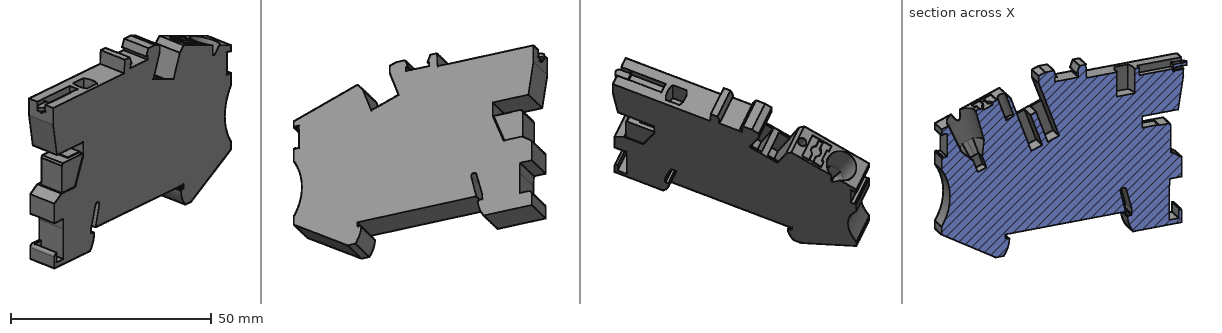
import cadquery as cq
import math


width = 8.15
back_y = 67.25
front_y = 0.95
foot_front_y = 1.4
top_z = 48.5
deck_z = 44.8
rail_z = 5.85

lip_back_y = 2.3
lip_top_z = 4.1
recess_back_y = 4.8

window_top_z = 31.2
window_back_y = 12.25
window_floor_z = 19.85

slope_top = (49.55, 44.5)
slope_foot = (back_y, 38.1)
slope_run = slope_foot[0] - slope_top[0]
slope_drop = slope_top[1] - slope_foot[1]
slope_angle = math.atan2(slope_drop, slope_run)

notch_back = (45.8, 36.45)
notch_floor_length = 8.0
notch_wall_height = 6.9
notch_front = (
    notch_back[0] - notch_floor_length * math.cos(slope_angle),
    notch_back[1] + notch_floor_length * math.sin(slope_angle),
)
notch_wall_top = (
    notch_back[0] + notch_wall_height * math.sin(slope_angle),
    notch_back[1] + notch_wall_height * math.cos(slope_angle),
)


def slanted_plane(center_x, y, anchor):
    """Plane parallel to the entry face through anchor; local +Y runs down the slope to the rear."""
    z = anchor[1] - (y - anchor[0]) * math.tan(slope_angle)
    normal = (0, math.sin(slope_angle), math.cos(slope_angle))
    return cq.Plane(origin=(center_x, y, z), xDir=(1, 0, 0), normal=normal)


def box_between(x_range, y_range, z_range):
    """Axis-aligned box given by its limits along X, Y and Z."""
    size = [high - low for low, high in (x_range, y_range, z_range)]
    corner = (x_range[0], y_range[0], z_range[0])
    return cq.Workplane("XY").box(*size, centered=False).translate(corner)


def slanted_box(center_x, y_rear, y_front, anchor, size_x, depth):
    """Box sunk square to the slope between two Y positions measured on its surface."""
    length = (y_rear - y_front) / math.cos(slope_angle)
    plane = slanted_plane(center_x, (y_rear + y_front) / 2, anchor)
    return cq.Workplane(plane).rect(size_x, length).extrude(-depth)


def housing():
    """Full side outline, extruded over the housing width."""
    outline = (
        cq.Workplane("YZ")
        .moveTo(foot_front_y, 0)
        .lineTo(foot_front_y, 3.2)
        .threePointArc((1.7, 3.8), (lip_back_y, lip_top_z))
        .lineTo(recess_back_y, lip_top_z)
        .lineTo(recess_back_y, 9.8)
        .lineTo(4.65, 12.6)
        .lineTo(foot_front_y, 12.6)
        .lineTo(foot_front_y, 18.0)
        .lineTo(4.05, window_floor_z)
        .lineTo(9.2, window_floor_z)
        .lineTo(window_back_y, 27.5)
        .lineTo(window_back_y, window_top_z)
        .lineTo(2.35, window_top_z)
        .lineTo(front_y, 40.15)
        .lineTo(front_y, deck_z)
        .lineTo(27.45, deck_z)
        .lineTo(27.65, top_z)
        .lineTo(29.45, top_z)
        .lineTo(30.25, 46.5)
        .lineTo(29.8, 46.5)
        .lineTo(29.8, 45.4)
        .lineTo(36.2, 45.4)
        .lineTo(36.2, 46.5)
        .lineTo(35.6, 46.5)
        .lineTo(36.45, top_z)
        .lineTo(38.9, top_z)
        .lineTo(40.7, 47.8)
        .lineTo(40.7, 45.8)
        .lineTo(*notch_front)
        .lineTo(*notch_back)
        .lineTo(*notch_wall_top)
        .lineTo(*slope_top)
        .lineTo(*slope_foot)
        .lineTo(back_y, 36.45)
        .lineTo(66.85, 36.45)
        .lineTo(66.7, 36.65)
        .lineTo(65.8, 36.65)
        .lineTo(65.8, 30.4)
        .lineTo(66.7, 30.4)
        .lineTo(66.85, 30.6)
        .lineTo(67.0, 30.4)
        .lineTo(back_y, 30.4)
        .lineTo(back_y, 27.0)
        .threePointArc((64.95, 19.15), (back_y, 11.35))
        .lineTo(back_y, 9.15)
        .lineTo(52.3, 0)
        .lineTo(50.2, 0)
        .threePointArc((48.95, 2.3), (48.55, 4.45))
        .lineTo(48.8, 4.7)
        .lineTo(49.4, 4.7)
        .lineTo(49.7, 5.0)
        .lineTo(49.7, rail_z)
        .lineTo(16.75, rail_z)
        .lineTo(18.15, 11.8)
        .threePointArc((17.5, 12.6), (16.7, 12.0))
        .lineTo(15.1, 6.2)
        .lineTo(15.1, 5.0)
        .lineTo(15.3, 4.7)
        .lineTo(16.1, 4.7)
        .lineTo(16.35, 4.45)
        .threePointArc((15.9, 2.15), (14.7, 0))
        .close()
    )
    return outline.extrude(width)


def foot_trough():
    """Trough behind the foot lip, closed on the -X side and open on the +X side."""
    side_wall = 0.7
    depth = 2.7
    return box_between((side_wall, width), (lip_back_y, recess_back_y), (lip_top_z - depth, lip_top_z))


def release_block():
    """Block standing in the front window, with a thin pad on its top."""
    block_x = (1.0, 7.95)
    pad_x = (1.55, 6.85)
    overlap = 0.7
    block_top_z = 28.0
    pad_thickness = 0.2
    pad_front_y = 7.8
    root_z = window_floor_z - overlap
    block_y = (4.45, window_back_y + overlap)
    edge_drop = 0.6
    edge_setback = 0.35
    block = box_between(block_x, block_y, (root_z, block_top_z))
    block = block.faces("<Y").edges(">Z").chamfer(edge_drop, edge_setback)
    pad = box_between(pad_x, (pad_front_y, block_y[1]), (block_top_z, block_top_z + pad_thickness))
    return block.union(pad)


def wire_funnel():
    """Tapered wire entry, cutting slightly through the +X side, narrowing to a flat slot."""
    center_x = 4.45
    center_y = 61.6
    mouth_radius = 3.9
    throat_radius = 3.2
    depth = 8.75
    slot_center_x = 4.05
    slot_width = 4.5
    slot_height = 2.4
    transition_depth = 4.05
    slot_depth = 3.35
    plane = slanted_plane(center_x, center_y, slope_foot)
    funnel = (
        cq.Workplane(plane)
        .circle(mouth_radius)
        .workplane(offset=-depth)
        .circle(throat_radius)
        .loft(ruled=True)
    )
    throat = cq.Workplane(plane).workplane(offset=-depth)
    transition = (
        throat.circle(throat_radius)
        .workplane(offset=-transition_depth)
        .center(slot_center_x - center_x, 0)
        .rect(slot_width, slot_height)
        .loft(ruled=True)
    )
    slot = (
        throat.workplane(offset=-transition_depth)
        .center(slot_center_x - center_x, 0)
        .rect(slot_width, slot_height)
        .extrude(-slot_depth)
    )
    return funnel.union(transition).union(slot)


def marker_recess():
    """Shallow label field on the slope with a cross groove and a round pocket."""
    center_x = 4.25
    field_width = 6.45
    field_rear_y = 57.4
    field_front_y = 52.25
    field_depth = 0.2
    tab_width = 3.2
    tab_front_y = 56.9
    groove_rear_y = 55.3
    groove_front_y = 54.2
    groove_depth = 0.9
    pocket_radius = 1.35
    field = slanted_box(center_x, field_rear_y, field_front_y, slope_foot, field_width, field_depth)
    tab = slanted_box(center_x, field_rear_y, tab_front_y, slope_foot, tab_width, field_depth)
    groove = slanted_box(center_x, groove_rear_y, groove_front_y, slope_foot, field_width, groove_depth)
    pocket_plane = slanted_plane(center_x, (groove_rear_y + groove_front_y) / 2, slope_foot)
    pocket = cq.Workplane(pocket_plane).circle(pocket_radius).extrude(-groove_depth)
    return field.cut(tab).union(groove).union(pocket)


def test_hole():
    """Small round hole near the top of the slope."""
    center_x = 4.1
    center_y = 50.8
    radius = 1.1
    depth = 6.7
    plane = slanted_plane(center_x, center_y, slope_foot)
    return cq.Workplane(plane).circle(radius).extrude(-depth)


def notch_pockets():
    """Two deep rectangular pockets in the notch floor, one at each end."""
    size_x = 7.1
    depth = 9.4
    rear_pocket_front_y = 42.9
    front_pocket_rear_y = 41.3
    rear = slanted_box(width / 2, notch_back[0], rear_pocket_front_y, notch_back, size_x, depth)
    front = slanted_box(width / 2, front_pocket_rear_y, notch_front[0], notch_back, size_x, depth)
    return rear.union(front)


def deck_opening():
    """Pocket in the deck with straight sides and bowed ends."""
    center_x = 4.7
    half_width = 2.3
    center_y = 16.75
    half_length = 2.4
    half_side = 1.9
    depth = 6.7
    return (
        cq.Workplane("XY", origin=(center_x, center_y, deck_z))
        .moveTo(-half_width, -half_side)
        .threePointArc((0, -half_length), (half_width, -half_side))
        .lineTo(half_width, half_side)
        .threePointArc((0, half_length), (-half_width, half_side))
        .close()
        .extrude(-depth)
    )


slot_x = (2.8, 5.45)
slot_floor_z = 42.8
slot_back_y = 13.05
pin_back_y = 3.75
pin_bottom_z = 43.0


def contact_slot():
    """Open slot with a narrow channel below the pin."""
    channel_x = (3.8, 4.5)
    channel_floor_z = 42.15
    slot = box_between(slot_x, (0, slot_back_y), (slot_floor_z, deck_z))
    channel = box_between(channel_x, (0, pin_back_y), (channel_floor_z, slot_floor_z))
    return slot.union(channel)


def contact_pin():
    """Flat pin with a rounded tip, protruding from the front, on a root that joins the slot."""
    pin_x = (3.2, 5.1)
    pin_top_z = 44.0
    tip_radius = 0.9
    root_length = 0.35
    pin = box_between(pin_x, (0, pin_back_y), (pin_bottom_z, pin_top_z))
    pin = pin.faces("<Y").edges("|Z").fillet(tip_radius)
    root = box_between(slot_x, (pin_back_y - root_length, pin_back_y), (slot_floor_z, pin_top_z))
    return pin.union(root)


result = (
    housing()
    .union(release_block())
    .cut(foot_trough())
    .cut(wire_funnel())
    .cut(marker_recess())
    .cut(test_hole())
    .cut(notch_pockets())
    .cut(deck_opening())
    .cut(contact_slot())
    .union(contact_pin())
)